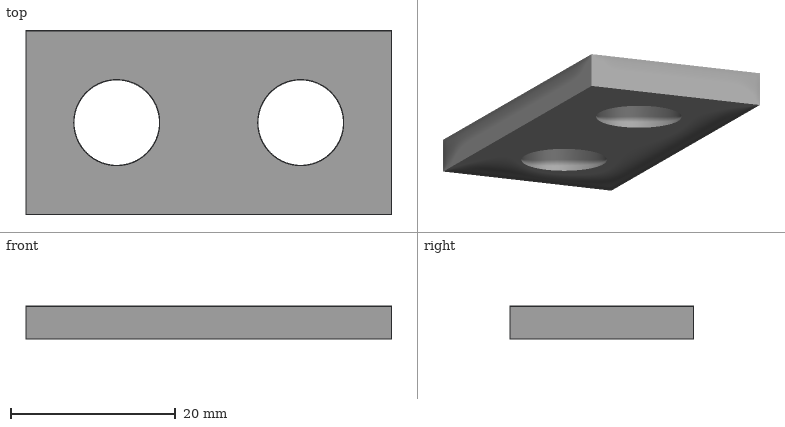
import cadquery as cq

length = 44.45
width = 22.35
thickness = 4.0

hole_diameter = 10.4
hole_spacing = width

plate = cq.Workplane("XY").box(length, width, thickness)

result = (
    plate.faces(">Z")
    .workplane()
    .rarray(hole_spacing, 0.45, 2, 1)
    .hole(hole_diameter)
)